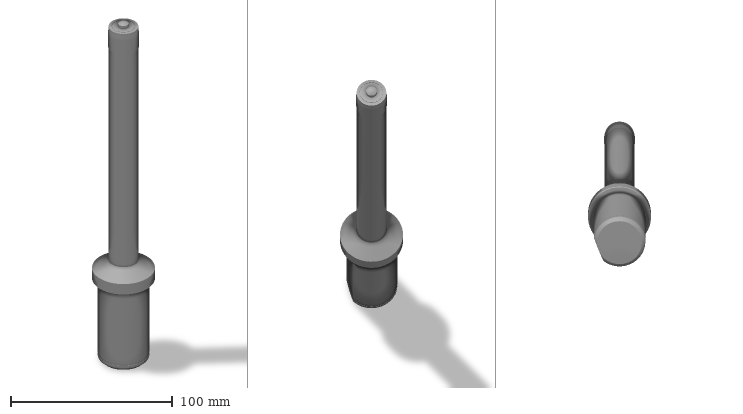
import cadquery as cq
import math

TOTAL_LENGTH = 245.0

SHANK_RADIUS = 16.0
SHANK_LENGTH = 58.0
SHANK_END_RADIUS = 13.8
SHANK_CHAMFER_HEIGHT = 1.8
SHANK_CHAMFER_RADIUS = 15.7
SHANK_TAPER_HEIGHT = 0.8
RING_GROOVE_BOTTOM = 4.0
RING_GROOVE_WIDTH = 1.5
RING_GROOVE_DEPTH = 0.2

FLAT_OFFSET = SHANK_END_RADIUS
FLAT_LENGTH = 53.5

RELIEF_WIDTH = 1.9
RELIEF_TAPER_HEIGHT = 0.7
RELIEF_DEPTH = 0.2

COLLAR_RADIUS = 19.5
COLLAR_HEIGHT = 8.0
COLLAR_EDGE_CHAMFER = 0.4
CONE_SLOPE = math.radians(30)

STEM_RADIUS = 9.2
HEAD_RADIUS = 9.5
HEAD_END_RADIUS = 9.2
HEAD_LENGTH = 15.0
HEAD_TAPER_HEIGHT = 3.9

FACE_GROOVE_RADIUS = 7.2
FACE_GROOVE_WIDTH = 0.3
FACE_GROOVE_DEPTH = 0.3

BUTTON_HEIGHT = 3.1
BUTTON_RADIUS = 3.3
BUTTON_DOME_HEIGHT = 1.0

COLLAR_TOP = SHANK_LENGTH + COLLAR_HEIGHT
CONE_TOP = COLLAR_TOP + (COLLAR_RADIUS - STEM_RADIUS) * math.tan(CONE_SLOPE)
HEAD_TOP = TOTAL_LENGTH - BUTTON_HEIGHT
HEAD_BOTTOM = HEAD_TOP - HEAD_LENGTH


def revolve_about_z(profile):
    """Turn a closed (radius, height) profile about the Z axis."""
    return profile.close().revolve(360, (0, 0, 0), (0, 1, 0))


def make_ring(inner_radius, outer_radius, bottom, height):
    ring = cq.Workplane("XY").workplane(offset=bottom).circle(outer_radius).circle(inner_radius)
    return ring.extrude(height)


def make_body():
    relief_radius = SHANK_RADIUS - RELIEF_DEPTH
    relief_bottom = SHANK_LENGTH - RELIEF_WIDTH
    outline = [
        (0, 0),
        (SHANK_END_RADIUS, 0),
        (SHANK_CHAMFER_RADIUS, SHANK_CHAMFER_HEIGHT),
        (SHANK_RADIUS, SHANK_CHAMFER_HEIGHT + SHANK_TAPER_HEIGHT),
        (SHANK_RADIUS, relief_bottom - RELIEF_TAPER_HEIGHT),
        (relief_radius, relief_bottom),
        (relief_radius, SHANK_LENGTH),
        (COLLAR_RADIUS - COLLAR_EDGE_CHAMFER, SHANK_LENGTH),
        (COLLAR_RADIUS, SHANK_LENGTH + COLLAR_EDGE_CHAMFER),
        (COLLAR_RADIUS, COLLAR_TOP),
        (STEM_RADIUS, CONE_TOP),
        (STEM_RADIUS, HEAD_BOTTOM),
        (HEAD_RADIUS, HEAD_BOTTOM),
        (HEAD_RADIUS, HEAD_TOP - HEAD_TAPER_HEIGHT),
        (HEAD_END_RADIUS, HEAD_TOP),
        (0, HEAD_TOP),
    ]
    return revolve_about_z(cq.Workplane("XZ").polyline(outline))


def make_button():
    dome_base = TOTAL_LENGTH - BUTTON_DOME_HEIGHT
    dome_radius = (BUTTON_RADIUS**2 + BUTTON_DOME_HEIGHT**2) / (2 * BUTTON_DOME_HEIGHT)
    half_angle = math.asin(BUTTON_RADIUS / dome_radius) / 2
    dome_middle = (
        dome_radius * math.sin(half_angle),
        TOTAL_LENGTH - dome_radius * (1 - math.cos(half_angle)),
    )
    profile = (
        cq.Workplane("XZ")
        .moveTo(0, HEAD_TOP)
        .lineTo(BUTTON_RADIUS, HEAD_TOP)
        .lineTo(BUTTON_RADIUS, dome_base)
        .threePointArc(dome_middle, (0, TOTAL_LENGTH))
    )
    return revolve_about_z(profile)


def make_shank_groove():
    return make_ring(
        SHANK_RADIUS - RING_GROOVE_DEPTH, COLLAR_RADIUS, RING_GROOVE_BOTTOM, RING_GROOVE_WIDTH
    )


def make_face_groove():
    half_width = FACE_GROOVE_WIDTH / 2
    return make_ring(
        FACE_GROOVE_RADIUS - half_width,
        FACE_GROOVE_RADIUS + half_width,
        HEAD_TOP - FACE_GROOVE_DEPTH,
        FACE_GROOVE_DEPTH,
    )


def make_flat():
    flat = cq.Workplane("XY").box(
        2 * SHANK_RADIUS, SHANK_RADIUS - FLAT_OFFSET, FLAT_LENGTH, centered=(True, False, False)
    )
    return flat.translate((0, FLAT_OFFSET, 0))


result = (
    make_body()
    .union(make_button())
    .cut(make_shank_groove())
    .cut(make_face_groove())
    .cut(make_flat())
)